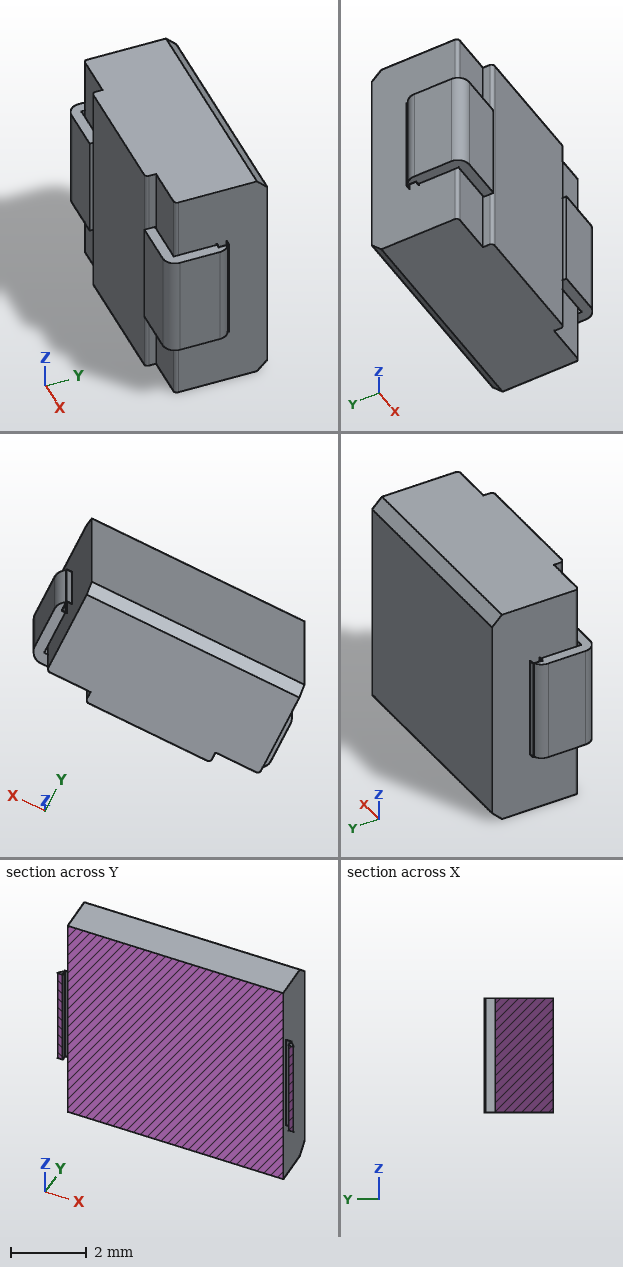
import cadquery as cq
import math

overall_width = 7.0
overall_depth = 3.0
body_height = 6.6

mount_gap = 0.05
body_width = 6.3
rail_width = 3.7
rail_depth = 0.3
edge_radius = 0.1
back_chamfer = 0.3
body_depth = overall_depth - mount_gap
step_y = -(body_depth - rail_depth)

terminal_thickness = 0.3
terminal_height = 3.025
terminal_reach = 1.84
foot_end_x = 1.9
bend_radius = 0.35
terminal_outer_x = overall_width / 2
terminal_inner_x = terminal_outer_x - terminal_thickness
foot_outer_y = -overall_depth
foot_inner_y = foot_outer_y + terminal_thickness
tip_y = foot_outer_y + terminal_reach

stub_outer_x = 3.31
stub_thickness = terminal_thickness
stub_inner_y = tip_y - stub_thickness
stub_overlap = 0.14
stub_wall = 0.015


def make_stub(side):
    """Block that joins one side of the body to its terminal."""
    root_x = body_width / 2 - stub_overlap
    return (
        cq.Workplane("XY")
        .box(stub_outer_x - root_x, stub_thickness, terminal_height)
        .translate((side * (stub_outer_x + root_x) / 2, tip_y - stub_thickness / 2, 0))
    )


def make_stub_opening(side):
    """Opening through a stub along Z, from the body side to the stub's outer wall."""
    body_side_x = body_width / 2
    opening_end_x = stub_outer_x - stub_wall
    return (
        cq.Workplane("XY")
        .box(opening_end_x - body_side_x, stub_thickness - 2 * stub_wall, terminal_height)
        .translate((side * (opening_end_x + body_side_x) / 2, tip_y - stub_thickness / 2, 0))
    )


def make_body():
    """Stepped block with a raised front rail, chamfered back and two hollow side stubs."""
    half_width = body_width / 2
    half_rail = rail_width / 2
    block = (
        cq.Workplane("XY")
        .workplane(offset=-body_height / 2)
        .polyline([
            (-half_width, 0),
            (-half_width, step_y),
            (-half_rail, step_y),
            (-half_rail, -body_depth),
            (half_rail, -body_depth),
            (half_rail, step_y),
            (half_width, step_y),
            (half_width, 0),
        ])
        .close()
        .extrude(body_height)
    )
    block = block.faces(">Y").edges("|X").chamfer(back_chamfer)
    block = block.faces("<Y").edges("|Z").fillet(edge_radius)
    for side_face in ("<X", ">X"):
        block = block.faces(side_face).edges("|Z").edges("<Y").fillet(edge_radius)
    for side in (-1, 1):
        block = block.union(make_stub(side)).cut(make_stub_opening(side))
    return block


def make_terminal(side):
    """Bent strip with a foot in front of the body and a rounded tip that ends at its stub."""
    tip_center_x = terminal_outer_x - bend_radius
    tip_center_y = tip_y - bend_radius
    tip_end_y = tip_center_y + math.sqrt(bend_radius**2 - (stub_outer_x - tip_center_x) ** 2)
    strip = (
        cq.Workplane("XY")
        .workplane(offset=-terminal_height / 2)
        .moveTo(side * foot_end_x, foot_outer_y)
        .lineTo(side * (terminal_outer_x - bend_radius), foot_outer_y)
        .radiusArc((side * terminal_outer_x, foot_outer_y + bend_radius), -side * bend_radius)
        .lineTo(side * terminal_outer_x, tip_center_y)
        .radiusArc((side * stub_outer_x, tip_end_y), -side * bend_radius)
        .lineTo(side * stub_outer_x, stub_inner_y)
        .lineTo(side * terminal_inner_x, stub_inner_y)
        .lineTo(side * terminal_inner_x, foot_inner_y)
        .lineTo(side * foot_end_x, foot_inner_y)
        .close()
        .extrude(terminal_height)
    )
    return strip


body = make_body()
terminals = [make_terminal(side) for side in (-1, 1)]

result = cq.Compound.makeCompound([body.val(), *[terminal.val() for terminal in terminals]])